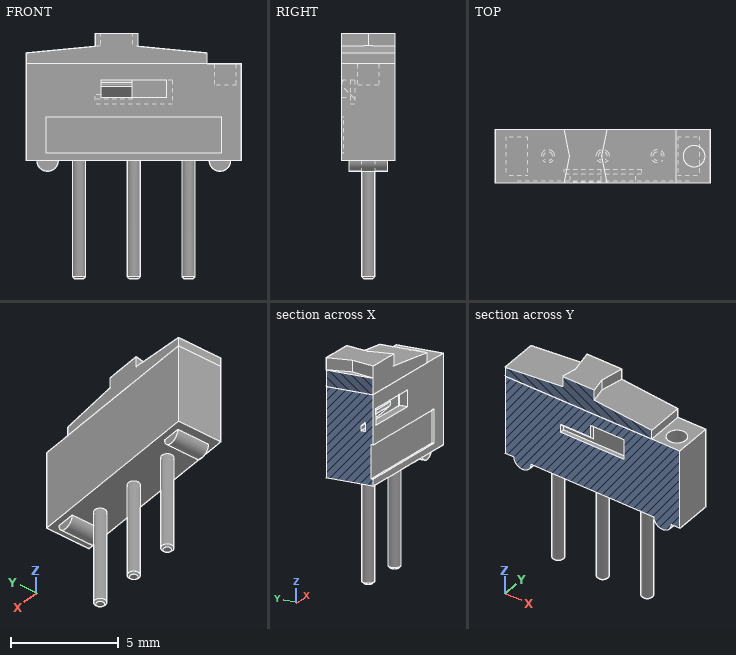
import cadquery as cq

HOUSING_LENGTH = 10.0
DEPTH = 2.5
HOUSING_HEIGHT = 4.5
FRONT_Y = -DEPTH / 2
LEFT_X = -HOUSING_LENGTH / 2

TOP_HOLE_RADIUS = 0.5
TOP_HOLE_X = 4.24
TOP_HOLE_DEPTH = 2 * TOP_HOLE_RADIUS

PANEL_LENGTH = 8.16
PANEL_HEIGHT = 1.68
PANEL_BOTTOM_Z = 0.35
PANEL_RECESS = 0.1

WINDOW_LENGTH = 3.03
WINDOW_HEIGHT = 0.82
WINDOW_TOP_Z = 3.74
WINDOW_BOTTOM_Z = WINDOW_TOP_Z - WINDOW_HEIGHT
WALL_THICKNESS = 0.42
CHAMBER_DEPTH = 0.22
CHAMBER_MARGIN = 0.28
CHAMBER_LENGTH = WINDOW_LENGTH + 2 * CHAMBER_MARGIN
CHAMBER_HEIGHT = WINDOW_HEIGHT + CHAMBER_MARGIN

RIDGE_END_X = -0.09
RIDGE_SETBACK = 0.02
RIDGE_TOP_DROP = 0.1
RIDGE_FACE_DROP = 0.22
RIDGE_EDGE_DROP = 0.3
RIDGE_TOP_SETBACK = 0.09
RIDGE_EDGE_SETBACK = 0.05

FOOT_RADIUS = 0.5
FOOT_WIDTH = 1.8
FOOT_SPACING = 8.0

PIN_COUNT = 3
PIN_PITCH = 2.54
PIN_DIAMETER = 0.62
PIN_CHAMFER = 0.1

SLIDER_LENGTH = 8.4
SLIDER_END_HEIGHT = 0.5
WING_HEIGHT_AT_KNOB = 0.81
KNOB_LENGTH = 2.0
KNOB_WAIST_CUT = 0.25
OVERALL_HEIGHT = 11.4
SLIDER_HEIGHT = 1.4
PIN_LENGTH = OVERALL_HEIGHT - HOUSING_HEIGHT - SLIDER_HEIGHT


def make_block():
    """Plain housing block with its underside at Z = 0."""
    return cq.Workplane("XY").box(HOUSING_LENGTH, DEPTH, HOUSING_HEIGHT, centered=(True, True, False))


def front_pocket(length, height, bottom_z, pocket_depth, setback=0):
    """Cutter for a rectangular pocket, centred along X, that starts at a setback from the front face."""
    return (
        cq.Workplane("XY")
        .box(length, pocket_depth, height, centered=(True, False, False))
        .translate((0, FRONT_Y + setback, bottom_z))
    )


def make_ridge():
    """Ridge standing out from the back of the chamber, with a 45 degree underside."""
    start_x = -CHAMBER_LENGTH / 2
    back_depth = WALL_THICKNESS + CHAMBER_DEPTH
    underside_drop = back_depth - RIDGE_EDGE_SETBACK
    profile = [
        (back_depth, 0),
        (RIDGE_TOP_SETBACK, 0),
        (RIDGE_SETBACK, -RIDGE_TOP_DROP),
        (RIDGE_SETBACK, -RIDGE_FACE_DROP),
        (RIDGE_EDGE_SETBACK, -RIDGE_EDGE_DROP),
        (back_depth, -RIDGE_EDGE_DROP - underside_drop),
    ]
    return (
        cq.Workplane("YZ", origin=(start_x, FRONT_Y, WINDOW_TOP_Z))
        .polyline(profile)
        .close()
        .extrude(RIDGE_END_X - start_x)
    )


def make_foot(x):
    """Cylinder along Y whose lower half shows below the housing."""
    return (
        cq.Workplane("XZ", origin=(x, FOOT_WIDTH / 2, 0))
        .circle(FOOT_RADIUS)
        .extrude(FOOT_WIDTH)
    )


def make_pin(x):
    """Round pin hanging from the housing underside, chamfered at its tip."""
    return (
        cq.Workplane("XY", origin=(x, 0, 0))
        .circle(PIN_DIAMETER / 2)
        .extrude(-PIN_LENGTH)
        .faces("<Z")
        .chamfer(PIN_CHAMFER)
    )


def make_housing():
    """Housing with feet, pins, window and chamber, ridge, label panel and top hole."""
    body = make_block()
    for side in (-1, 1):
        body = body.union(make_foot(side * FOOT_SPACING / 2))
    for index in range(PIN_COUNT):
        body = body.union(make_pin((index - (PIN_COUNT - 1) / 2) * PIN_PITCH))
    body = body.cut(front_pocket(PANEL_LENGTH, PANEL_HEIGHT, PANEL_BOTTOM_Z, PANEL_RECESS))
    body = body.cut(front_pocket(WINDOW_LENGTH, WINDOW_HEIGHT, WINDOW_BOTTOM_Z, WALL_THICKNESS))
    chamber_bottom_z = WINDOW_BOTTOM_Z - CHAMBER_MARGIN
    body = body.cut(
        front_pocket(CHAMBER_LENGTH, CHAMBER_HEIGHT, chamber_bottom_z, CHAMBER_DEPTH, WALL_THICKNESS)
    )
    body = body.union(make_ridge())
    top_hole = (
        cq.Workplane("XY", origin=(TOP_HOLE_X, 0, HOUSING_HEIGHT))
        .circle(TOP_HOLE_RADIUS)
        .extrude(-TOP_HOLE_DEPTH)
    )
    return body.cut(top_hole)


def make_slider():
    """Slider with two sloping wings and a waisted knob, flush with the left end of the housing."""
    center_x = LEFT_X + SLIDER_LENGTH / 2
    half_length = SLIDER_LENGTH / 2
    half_knob = KNOB_LENGTH / 2
    half_depth = DEPTH / 2
    wing_slope = (WING_HEIGHT_AT_KNOB - SLIDER_END_HEIGHT) / (half_length - half_knob)
    half_waist = half_knob - KNOB_WAIST_CUT
    waist_height = WING_HEIGHT_AT_KNOB + wing_slope * KNOB_WAIST_CUT
    wing_profile = [
        (-half_length, 0),
        (half_length, 0),
        (half_length, SLIDER_END_HEIGHT),
        (half_waist, waist_height),
        (-half_waist, waist_height),
        (-half_length, SLIDER_END_HEIGHT),
    ]
    knob_outline = [
        (-half_knob, -half_depth),
        (half_knob, -half_depth),
        (half_waist, 0),
        (half_knob, half_depth),
        (-half_knob, half_depth),
        (-half_waist, 0),
    ]
    wings = cq.Workplane("XZ").polyline(wing_profile).close().extrude(half_depth, both=True)
    knob = cq.Workplane("XY").polyline(knob_outline).close().extrude(SLIDER_HEIGHT)
    return wings.union(knob).translate((center_x, 0, HOUSING_HEIGHT))


housing = make_housing()
slider = make_slider()

result = cq.Compound.makeCompound([housing.val(), slider.val()])